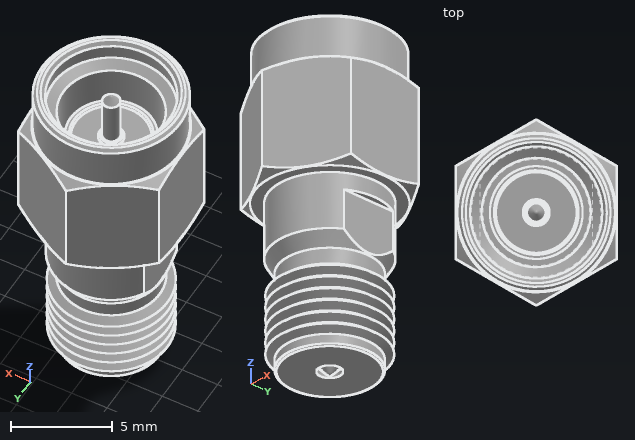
import cadquery as cq
import math


EDGE_CHAMFER = 0.1

NUT_TOP = 18.29
NUT_BOTTOM = 9.73
HEX_TOP = 15.85
HEX_ACROSS_FLATS = 7.94
HEX_ACROSS_CORNERS = HEX_ACROSS_FLATS / math.cos(math.radians(30))
HEX_CHAMFER_ANGLE = 30.0
HEX_CHAMFER_START_RADIUS = 3.93
SLEEVE_RADIUS = 3.88
SLEEVE_CHAMFER_WIDTH = 0.22
SLEEVE_CHAMFER_HEIGHT = 0.18
MOUTH_RADIUS = 3.25
MOUTH_CHAMFER = 0.22
MOUTH_CONE_TOP = 17.23
NUT_BORE_RADIUS = 2.69
MOUTH_CONE_ANGLE = 30.0

TUBE_TOP = 15.18
TUBE_RADIUS = 2.29
RECESS_RADIUS = 2.09
COLLAR_RADIUS = 3.24
COLLAR_CONE_TOP = 6.58
NECK_TOP = 5.76
NECK_RADIUS = 2.73
FLAT_TOP = 8.8
FLAT_DISTANCE = 2.78
THREAD_COUNT = 6
THREAD_PITCH = 0.65
THREAD_BOTTOM = 0.93
THREAD_CREST_RADIUS = 3.18
BODY_BOTTOM = 0.3

PIN_TOP = 18.13
PIN_TIP_RADIUS = 0.45
PIN_SHAFT_RADIUS = 0.65


def revolve_profile(points):
    """Revolve a closed (radius, height) outline about the Z axis."""
    return cq.Workplane("XZ").polyline(points).close().revolve(360, (0, 0), (0, 1))


def make_hexagon():
    """Hexagonal grip with flats facing X and conical chamfers on both ends."""
    prism = (
        cq.Workplane("XY", origin=(0, 0, NUT_BOTTOM))
        .polygon(6, HEX_ACROSS_CORNERS)
        .extrude(HEX_TOP - NUT_BOTTOM)
        .rotate((0, 0, 0), (0, 0, 1), 30)
    )
    outer_radius = HEX_ACROSS_CORNERS / 2 + 0.18
    chamfer_width = outer_radius - HEX_CHAMFER_START_RADIUS
    chamfer_height = chamfer_width * math.tan(math.radians(HEX_CHAMFER_ANGLE))
    envelope = revolve_profile([
        (0, NUT_BOTTOM),
        (HEX_CHAMFER_START_RADIUS, NUT_BOTTOM),
        (outer_radius, NUT_BOTTOM + chamfer_height),
        (outer_radius, HEX_TOP - chamfer_height),
        (HEX_CHAMFER_START_RADIUS, HEX_TOP),
        (0, HEX_TOP),
    ])
    return prism.intersect(envelope)


def make_nut():
    """Hexagon and round sleeve with a stepped bore that opens at the top."""
    sleeve = revolve_profile([
        (0, HEX_TOP),
        (SLEEVE_RADIUS, HEX_TOP),
        (SLEEVE_RADIUS, NUT_TOP - SLEEVE_CHAMFER_HEIGHT),
        (SLEEVE_RADIUS - SLEEVE_CHAMFER_WIDTH, NUT_TOP),
        (0, NUT_TOP),
    ])
    cone_height = (MOUTH_RADIUS - NUT_BORE_RADIUS) * math.tan(math.radians(MOUTH_CONE_ANGLE))
    bore = revolve_profile([
        (0, NUT_BOTTOM),
        (NUT_BORE_RADIUS, NUT_BOTTOM),
        (NUT_BORE_RADIUS, MOUTH_CONE_TOP - cone_height),
        (MOUTH_RADIUS, MOUTH_CONE_TOP),
        (MOUTH_RADIUS, NUT_TOP - MOUTH_CHAMFER),
        (MOUTH_RADIUS + MOUTH_CHAMFER, NUT_TOP),
        (0, NUT_TOP),
    ])
    return make_hexagon().union(sleeve).cut(bore)


def thread_points():
    """Outline of the V ridges, from the lowest root to the highest."""
    points = []
    for i in range(THREAD_COUNT):
        root = THREAD_BOTTOM + i * THREAD_PITCH
        points.append((NECK_RADIUS, root))
        points.append((THREAD_CREST_RADIUS, root + THREAD_PITCH / 2))
    points.append((NECK_RADIUS, THREAD_BOTTOM + THREAD_COUNT * THREAD_PITCH))
    return points


def cut_wrench_flats(body):
    """Cut a flat into the collar on the -X and +X sides, open downward."""
    flat_height = FLAT_TOP - NECK_TOP
    for side in (-1, 1):
        cutter = cq.Workplane("XY").box(COLLAR_RADIUS, 2 * COLLAR_RADIUS, flat_height)
        cutter_x = side * (FLAT_DISTANCE + COLLAR_RADIUS / 2)
        body = body.cut(cutter.translate((cutter_x, 0, NECK_TOP + flat_height / 2)))
    return body


def make_body():
    """Collar under the nut, threaded end, inner tube and bore for the pin."""
    body = revolve_profile([
        (0, BODY_BOTTOM),
        (NECK_RADIUS - EDGE_CHAMFER, BODY_BOTTOM),
        (NECK_RADIUS, BODY_BOTTOM + EDGE_CHAMFER),
        *thread_points(),
        (NECK_RADIUS, NECK_TOP),
        (COLLAR_RADIUS, COLLAR_CONE_TOP),
        (COLLAR_RADIUS, NUT_BOTTOM),
        (TUBE_RADIUS, NUT_BOTTOM),
        (TUBE_RADIUS, TUBE_TOP),
        (RECESS_RADIUS, TUBE_TOP),
        (RECESS_RADIUS - EDGE_CHAMFER, TUBE_TOP - EDGE_CHAMFER),
        (0, TUBE_TOP - EDGE_CHAMFER),
    ])
    pin_bore = (
        cq.Workplane("XY", origin=(0, 0, BODY_BOTTOM))
        .circle(PIN_SHAFT_RADIUS)
        .extrude(TUBE_TOP - BODY_BOTTOM)
    )
    return cut_wrench_flats(body).cut(pin_bore)


def make_pin():
    """Shaft with 45 degree points, stepped down to a thin tip at the top."""
    return revolve_profile([
        (0, 0),
        (PIN_SHAFT_RADIUS, PIN_SHAFT_RADIUS),
        (PIN_SHAFT_RADIUS, TUBE_TOP - EDGE_CHAMFER),
        (PIN_SHAFT_RADIUS - EDGE_CHAMFER, TUBE_TOP),
        (PIN_TIP_RADIUS, TUBE_TOP),
        (PIN_TIP_RADIUS, PIN_TOP - PIN_TIP_RADIUS),
        (0, PIN_TOP),
    ])


nut = make_nut()
body = make_body()
pin = make_pin()

result = cq.Compound.makeCompound([nut.val(), body.val(), pin.val()])